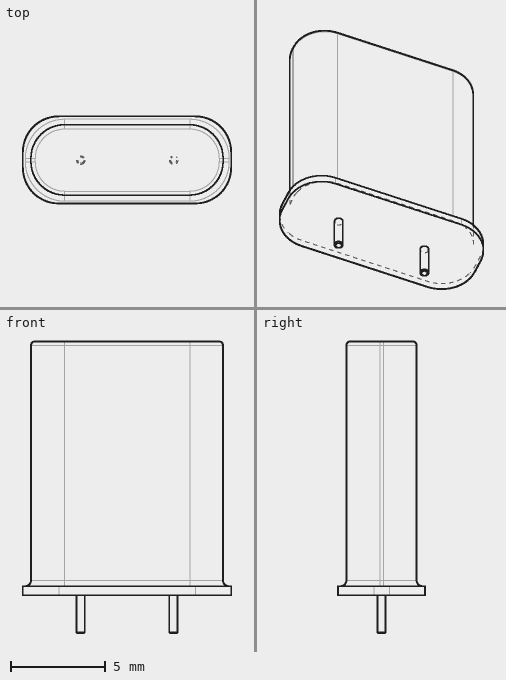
import cadquery as cq

total_height = 15.4
pin_length = 2.0
flange_thickness = 0.5

flange_length = 11.0
flange_width = 4.6
flange_corner_radius = 1.9

can_length = 10.13
can_width = 3.71
can_corner_radius = 1.77
can_height = total_height - pin_length - flange_thickness
top_edge_radius = 0.22
foot_radius = 0.31

pin_diameter = 0.45
pin_spacing = 4.9
pin_tip_chamfer = 0.06


def rounded_block(length, width, height, corner_radius, base_z):
    """Upright block with rounded vertical edges, standing on base_z."""
    return (
        cq.Workplane("XY", origin=(0, 0, base_z))
        .rect(length, width)
        .extrude(height)
        .edges("|Z")
        .fillet(corner_radius)
    )


def make_pin(x):
    """Round lead below the flange with a chamfered tip."""
    return (
        cq.Workplane("XY", origin=(x, 0, 0))
        .circle(pin_diameter / 2)
        .extrude(-pin_length)
        .faces("<Z")
        .chamfer(pin_tip_chamfer)
    )


flange = rounded_block(flange_length, flange_width, flange_thickness, flange_corner_radius, 0)
can = rounded_block(can_length, can_width, can_height, can_corner_radius, flange_thickness)
can = can.faces(">Z").edges().fillet(top_edge_radius)

margin = foot_radius / 2
box_x = can_length / 2 + margin
box_y = can_width / 2 + margin
foot_edges = cq.selectors.BoxSelector(
    (-box_x, -box_y, flange_thickness - margin),
    (box_x, box_y, flange_thickness + margin),
    boundingbox=True,
)
result = flange.union(can).edges(foot_edges).fillet(foot_radius)

for side in (-1, 1):
    result = result.union(make_pin(side * pin_spacing / 2))